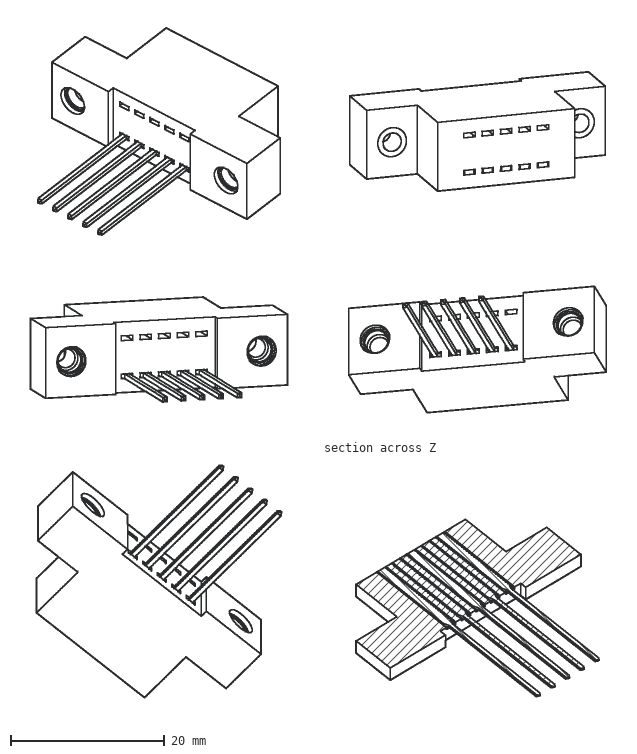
import cadquery as cq
import math


LENGTH = 33.02
HEIGHT = 9.4
DEPTH = 15.0
EAR_DEPTH = 6.87
BODY_LENGTH = 18.95
RECESS_LENGTH = 13.85
RECESS_DEPTH = 1.0

PITCH = 2.55
CONTACT_COUNT = 5
ROW_SPACING = 2 * PITCH
SLOT_WIDTH = 1.55
SLOT_HEIGHT = 0.63

PIN_REACH = 16.65
TAIL_WIDTH = 0.63
BLADE_WIDTH = 1.25
SHOULDER_ANGLE = 22.0
SHOULDER_SETBACK = 0.05
POINT_ANGLE = 30.0
POINT_LENGTH = 0.33

BUSHING_SPACING = 25.95
BUSHING_RADIUS = 1.98
BUSHING_SETBACK = 0.73
BORE_RADIUS = 1.55
BORE_DEPTH = 1.52
MOUTH_CHAMFER = 0.15
THROUGH_RADIUS = 1.25

contact_xs = [(i - (CONTACT_COUNT - 1) / 2) * PITCH for i in range(CONTACT_COUNT)]
pin_row_z = -ROW_SPACING / 2
slot_row_zs = (pin_row_z, -pin_row_z)
bushing_xs = (-BUSHING_SPACING / 2, BUSHING_SPACING / 2)


def box(width, y_front, y_back, height):
    """Box centred on the Y axis between two Y planes."""
    depth = y_back - y_front
    return cq.Workplane("XY").box(width, depth, height).translate((0, y_front + depth / 2, 0))


def make_housing():
    housing = box(LENGTH, 0, EAR_DEPTH, HEIGHT).union(box(BODY_LENGTH, 0, DEPTH, HEIGHT))
    housing = housing.cut(box(RECESS_LENGTH, 0, RECESS_DEPTH, HEIGHT))
    slot = box(SLOT_WIDTH, 0, DEPTH, SLOT_HEIGHT)
    for z in slot_row_zs:
        for x in contact_xs:
            housing = housing.cut(slot.translate((x, 0, z)))
    bushing_hole = cq.Workplane("XZ").circle(BUSHING_RADIUS).extrude(-EAR_DEPTH)
    for x in bushing_xs:
        housing = housing.cut(bushing_hole.translate((x, 0, 0)))
    return housing


def make_pin(x):
    half_tail = TAIL_WIDTH / 2
    half_blade = BLADE_WIDTH / 2
    half_tip = half_tail - POINT_LENGTH * math.tan(math.radians(POINT_ANGLE))
    y_tip = -PIN_REACH
    y_point = y_tip + POINT_LENGTH
    y_neck = RECESS_DEPTH + SHOULDER_SETBACK
    y_blade = y_neck + (half_blade - half_tail) / math.tan(math.radians(SHOULDER_ANGLE))

    flank = [
        (half_tip, y_tip),
        (half_tail, y_point),
        (half_tail, y_neck),
        (half_blade, y_blade),
        (half_blade, DEPTH),
    ]
    outline = flank + [(-half_x, y) for half_x, y in reversed(flank)]
    pin = cq.Workplane("XY").polyline(outline).close().extrude(SLOT_HEIGHT / 2, both=True)

    side_profile = [
        (y_tip, half_tip),
        (y_point, SLOT_HEIGHT / 2),
        (DEPTH, SLOT_HEIGHT / 2),
        (DEPTH, -SLOT_HEIGHT / 2),
        (y_point, -SLOT_HEIGHT / 2),
        (y_tip, -half_tip),
    ]
    envelope = cq.Workplane("YZ").polyline(side_profile).close().extrude(BLADE_WIDTH, both=True)
    return pin.intersect(envelope).translate((x, 0, pin_row_z))


def make_bushing(x):
    y_step = BUSHING_SETBACK + BORE_DEPTH
    half_section = [
        (BUSHING_RADIUS, BUSHING_SETBACK),
        (BORE_RADIUS + MOUTH_CHAMFER, BUSHING_SETBACK),
        (BORE_RADIUS, BUSHING_SETBACK + MOUTH_CHAMFER),
        (BORE_RADIUS, y_step),
        (THROUGH_RADIUS, y_step + BORE_RADIUS - THROUGH_RADIUS),
        (THROUGH_RADIUS, EAR_DEPTH),
        (BUSHING_RADIUS, EAR_DEPTH),
    ]
    bushing = cq.Workplane("XY").polyline(half_section).close().revolve(360, (0, 0), (0, 1))
    return bushing.translate((x, 0, 0))


housing = make_housing()
pins = [make_pin(x) for x in contact_xs]
bushings = [make_bushing(x) for x in bushing_xs]

result = cq.Compound.makeCompound([
    housing.val(),
    *[pin.val() for pin in pins],
    *[bushing.val() for bushing in bushings],
])